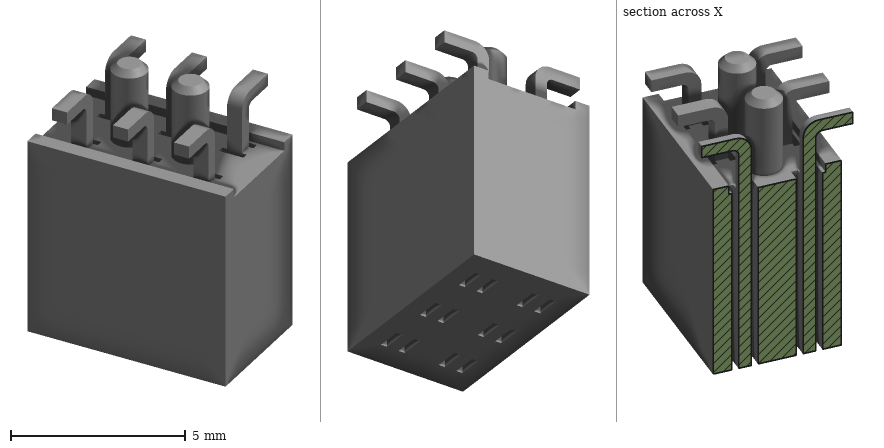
import cadquery as cq

HOUSING_LENGTH = 6.5
HOUSING_WIDTH = 4.0
HOUSING_HEIGHT = 6.335
RIM_WIDTH = 0.5
RIM_HEIGHT = 0.28
FLOOR_Z = HOUSING_HEIGHT - RIM_HEIGHT

PITCH = 2.0
CONTACTS_PER_ROW = 3
ROW_Y = PITCH / 2
CONTACT_WIDTH = 0.5
CONTACT_THICKNESS = 0.4
CONTACT_TOP_Z = 7.9
CONTACT_TIP_Y = 2.35
BEND_OUTER_RADIUS = 0.505
BEND_INNER_RADIUS = 0.2

SLOT_LENGTH = 0.8
SLOT_WIDTH = 0.205

PEG_DIAMETER = 1.1
PEG_CHAMFER = 0.2
PEG_TOP_Z = 8.55


def centred_positions(count):
    """X positions of equally pitched items, centred on X = 0."""
    return [(i - (count - 1) / 2) * PITCH for i in range(count)]


def make_housing():
    block = cq.Workplane("XY").box(
        HOUSING_LENGTH, HOUSING_WIDTH, HOUSING_HEIGHT, centered=(True, True, False)
    )
    channel_width = HOUSING_WIDTH - 2 * RIM_WIDTH
    channel = cq.Workplane("XY", origin=(0, 0, FLOOR_Z)).box(
        HOUSING_LENGTH, channel_width, RIM_HEIGHT, centered=(True, True, False)
    )
    return block.cut(channel)


def make_slots():
    """Slots along the inner and outer face of every contact, right through the housing."""
    offset = (CONTACT_THICKNESS + SLOT_WIDTH) / 2
    slot_rows = [ROW_Y - offset, ROW_Y + offset]
    centres = [
        (x, side * y)
        for x in centred_positions(CONTACTS_PER_ROW)
        for y in slot_rows
        for side in (-1, 1)
    ]
    return cq.Workplane("XY").pushPoints(centres).rect(SLOT_LENGTH, SLOT_WIDTH).extrude(HOUSING_HEIGHT)


def make_contact(x):
    """Contact of the +Y row: an upright leg that bends outward into a flat tail."""
    inner_y = ROW_Y - CONTACT_THICKNESS / 2
    outer_y = ROW_Y + CONTACT_THICKNESS / 2
    tail_bottom_z = CONTACT_TOP_Z - CONTACT_THICKNESS
    return (
        cq.Workplane("YZ", origin=(x - CONTACT_WIDTH / 2, 0, 0))
        .moveTo(inner_y, FLOOR_Z)
        .lineTo(inner_y, CONTACT_TOP_Z - BEND_OUTER_RADIUS)
        .radiusArc((inner_y + BEND_OUTER_RADIUS, CONTACT_TOP_Z), BEND_OUTER_RADIUS)
        .lineTo(CONTACT_TIP_Y, CONTACT_TOP_Z)
        .lineTo(CONTACT_TIP_Y, tail_bottom_z)
        .lineTo(outer_y + BEND_INNER_RADIUS, tail_bottom_z)
        .radiusArc((outer_y, tail_bottom_z - BEND_INNER_RADIUS), -BEND_INNER_RADIUS)
        .lineTo(outer_y, FLOOR_Z)
        .close()
        .extrude(CONTACT_WIDTH)
    )


def make_peg(x):
    return (
        cq.Workplane("XY", origin=(x, 0, FLOOR_Z))
        .circle(PEG_DIAMETER / 2)
        .extrude(PEG_TOP_Z - FLOOR_Z)
        .faces(">Z")
        .chamfer(PEG_CHAMFER)
    )


result = make_housing().cut(make_slots())
for contact_x in centred_positions(CONTACTS_PER_ROW):
    contact = make_contact(contact_x)
    result = result.union(contact).union(contact.mirror("XZ"))
for peg_x in centred_positions(CONTACTS_PER_ROW - 1):
    result = result.union(make_peg(peg_x))